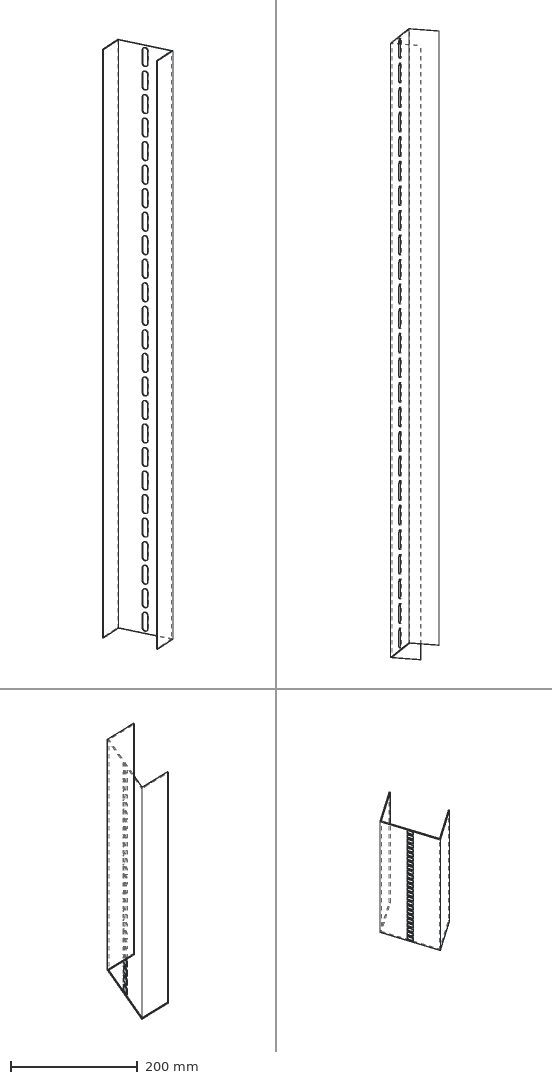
import cadquery as cq

LENGTH = 1000.0
WIDTH = 100.0
DEPTH = 50.0
WALL = 2.0

SLOT_COUNT = 25
SLOT_PITCH = LENGTH / SLOT_COUNT
SLOT_LENGTH = 32.0
SLOT_WIDTH = 10.0


def channel():
    """U-channel standing along Z, open toward -Y, with its web on the +Y side."""
    outside = cq.Workplane("XY").box(WIDTH, DEPTH, LENGTH)
    inside = (
        cq.Workplane("XY")
        .box(WIDTH - 2 * WALL, DEPTH, LENGTH)
        .translate((0, -WALL, 0))
    )
    return outside.cut(inside)


def web_slots():
    """Round-ended cutters, evenly pitched along Z, that pass through the web."""
    return (
        cq.Workplane("XZ", origin=(0, DEPTH / 2, 0))
        .rarray(SLOT_PITCH, SLOT_PITCH, 1, SLOT_COUNT)
        .slot2D(SLOT_LENGTH, SLOT_WIDTH, angle=90)
        .extrude(WALL)
    )


result = channel().cut(web_slots())